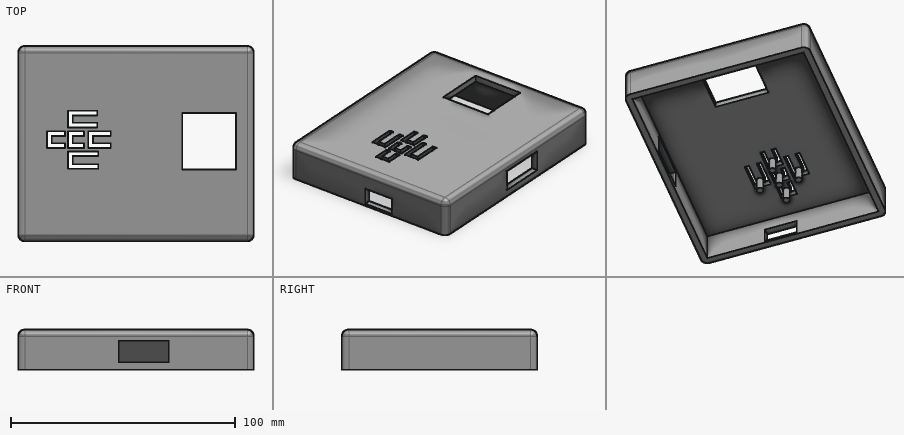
import cadquery as cq

length = 105.0
width = 87.0
height = 18.0
edge_radius = 3.0
wall = 3.0
roof = 3.0

window_x = 32.5
window_y = 1.0
window_length = 23.8
window_width = 25.0

front_port_x = 3.5
front_port_bottom = 3.3
front_port_length = 22.2
front_port_height = 9.7

left_port_y = -5.8
left_port_bottom = 1.2
left_port_width = 14.9
left_port_height = 7.7

slot_gap = 2.0
button_pitch = 9.1
middle_row_y = 1.8
button_width = 7.4
lower_button_width = 7.7
middle_column_x = -30.2
upper_row_y = middle_row_y + button_pitch
lower_row_y = middle_row_y - button_pitch
buttons = [
    (middle_column_x, upper_row_y, 12.9, button_width),
    (-39.6, middle_row_y, 7.9, button_width),
    (middle_column_x, middle_row_y, 7.0, button_width),
    (-21.2, middle_row_y, 9.9, button_width),
    (middle_column_x, lower_row_y, 13.3, lower_button_width),
]

pin_diameter = 3.0
pin_bottom = 8.1
pin_end_margin = 0.2


def block(x_size, y_size, z_size, x_centre, y_centre, z_bottom):
    """Box centred in X and Y with its bottom face at z_bottom."""
    box = cq.Workplane("XY").box(x_size, y_size, z_size, centered=(True, True, False))
    return box.translate((x_centre, y_centre, z_bottom))


def shell():
    """Rounded cover with a plain rectangular cavity."""
    outer = block(length, width, height, 0, 0, 0).edges("|Z or >Z").fillet(edge_radius)
    cavity = block(length - 2 * wall, width - 2 * wall, height - roof, 0, 0, 0)
    return outer.cut(cavity)


def button_slot(start_x, row_y, slot_length, slot_width):
    """C-shaped cut through the roof, open toward +X."""
    centre_x = start_x + slot_length / 2
    outline = block(slot_length, slot_width, roof, centre_x, row_y, height - roof)
    tongue_length = slot_length - slot_gap
    tongue_width = slot_width - 2 * slot_gap
    tongue_x = start_x + slot_gap + tongue_length / 2
    return outline.cut(block(tongue_length, tongue_width, roof, tongue_x, row_y, height - roof))


def button_pin(start_x, row_y):
    """Pin from the middle of the roof thickness down to pin_bottom."""
    centre_x = start_x + slot_gap + pin_end_margin + pin_diameter / 2
    pin_height = height - roof / 2 - pin_bottom
    pin = cq.Workplane("XY").circle(pin_diameter / 2).extrude(pin_height)
    return pin.translate((centre_x, row_y, pin_bottom))


result = shell()
result = result.cut(block(window_length, window_width, roof, window_x, window_y, height - roof))

front_wall_y = (wall - width) / 2
result = result.cut(
    block(front_port_length, wall, front_port_height, front_port_x, front_wall_y, front_port_bottom)
)

left_wall_x = (wall - length) / 2
result = result.cut(
    block(wall, left_port_width, left_port_height, left_wall_x, left_port_y, left_port_bottom)
)

for start_x, row_y, slot_length, slot_width in buttons:
    result = result.cut(button_slot(start_x, row_y, slot_length, slot_width))
    result = result.union(button_pin(start_x, row_y))